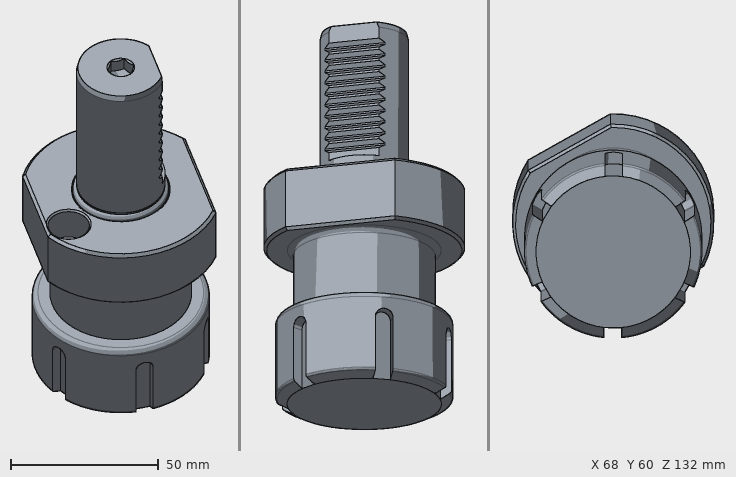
import cadquery as cq
import math


shank_radius = 15.0
shank_length = 55.0
shank_chamfer_height = 2.0
shank_chamfer_width = 0.5
neck_radius = 14.9
neck_top_z = 2.3

flat_y = 12.1
flat_bottom_z = 7.0
groove_count = 10
groove_pitch = 4.0
groove_depth = 1.5
groove_opening = 3.2
groove_floor = 0.6
first_groove_z = 11.5

ring_tube_radius = 1.6
ring_centre_radius = 14.7
recess_radius = 16.65
recess_depth = 0.5

flange_radius = 34.0
flange_thickness = 22.0
flange_back_y = 28.0
flange_front_y = -30.0
flange_chamfer = 1.0

hole_x = 12.6
hole_y = -21.8
hole_radius = 7.0
hole_depth = 12.0
hole_chamfer = 0.6
drill_tip_half_angle = math.radians(59)

body_radius = 24.0
body_fillet = 2.0

nut_radius = 30.0
nut_height = 30.0
nut_bottom_z = -77.0
nut_top_fillet = 2.0
nut_chamfer_width = 3.9
nut_chamfer_height = 2.1
nut_edge_radius = 1.0
nut_top_z = nut_bottom_z + nut_height

slot_count = 6
slot_width = 6.0
slot_height = 24.0
slot_floor_radius = 26.0

socket_flats = 8.0
socket_depth = 4.5
socket_rim_radius = 4.65
socket_floor_radius = 2.1
socket_corner_radius = socket_flats / math.sqrt(3)


def cylinder(radius, bottom_z, height):
    return cq.Workplane("XY").workplane(offset=bottom_z).circle(radius).extrude(height)


def revolve_profile(profile):
    """Turn a closed radius-height profile about the Z axis."""
    return profile.close().revolve(360, (0, 0, 0), (0, 1, 0))


def make_shank():
    profile = (
        cq.Workplane("XZ")
        .moveTo(0, -recess_depth)
        .lineTo(neck_radius, -recess_depth)
        .lineTo(neck_radius, neck_top_z)
        .lineTo(shank_radius, neck_top_z)
        .lineTo(shank_radius, shank_length - shank_chamfer_height)
        .lineTo(shank_radius - shank_chamfer_width, shank_length)
        .lineTo(0, shank_length)
    )
    return revolve_profile(profile)


def make_serration_cutter():
    flat_height = shank_length - flat_bottom_z
    cut_thickness = shank_radius - flat_y
    cutter = cq.Workplane("XY").box(
        2 * shank_radius, cut_thickness, flat_height, centered=(True, False, False)
    ).translate((0, flat_y, flat_bottom_z))
    for index in range(groove_count):
        groove_z = first_groove_z + index * groove_pitch
        groove = (
            cq.Workplane("YZ")
            .moveTo(flat_y - groove_depth, groove_z - groove_floor / 2)
            .lineTo(flat_y - groove_depth, groove_z + groove_floor / 2)
            .lineTo(flat_y, groove_z + groove_opening / 2)
            .lineTo(flat_y, groove_z - groove_opening / 2)
            .close()
            .extrude(shank_radius, both=True)
        )
        cutter = cutter.union(groove)
    return cutter


def make_socket_cutter():
    """Hexagon with a countersunk rim and a truncated conical floor."""
    tip_depth = (socket_corner_radius - socket_floor_radius) / math.tan(drill_tip_half_angle)
    floor_z = shank_length - socket_depth
    rim_depth = socket_rim_radius - socket_flats / 2
    hexagon = (
        cq.Workplane("XY")
        .workplane(offset=floor_z - tip_depth)
        .transformed(rotate=(0, 0, 90))
        .polygon(6, 2 * socket_corner_radius)
        .extrude(socket_depth + tip_depth)
    )
    drill_profile = (
        cq.Workplane("XZ")
        .moveTo(0, floor_z - tip_depth)
        .lineTo(socket_floor_radius, floor_z - tip_depth)
        .lineTo(socket_corner_radius, floor_z)
        .lineTo(socket_corner_radius, shank_length)
        .lineTo(0, shank_length)
    )
    rim_profile = (
        cq.Workplane("XZ")
        .moveTo(0, shank_length)
        .lineTo(socket_rim_radius, shank_length)
        .lineTo(socket_flats / 2, shank_length - rim_depth)
        .lineTo(0, shank_length - rim_depth)
    )
    return hexagon.intersect(revolve_profile(drill_profile)).union(revolve_profile(rim_profile))


def make_ring():
    """Round sealing ring half sunk in the flange recess."""
    return (
        cq.Workplane("XZ")
        .center(ring_centre_radius, 0)
        .circle(ring_tube_radius)
        .revolve(360, (-ring_centre_radius, 0, 0), (-ring_centre_radius, 1, 0))
    )


def make_flange():
    flange = cylinder(flange_radius, -flange_thickness, flange_thickness)
    band = cq.Workplane("XY").box(
        2 * flange_radius, flange_back_y - flange_front_y, flange_thickness, centered=(True, False, False)
    ).translate((0, flange_front_y, -flange_thickness))
    flange = flange.intersect(band).faces("|Z").edges().chamfer(flange_chamfer)
    return flange.cut(cylinder(recess_radius, -recess_depth, recess_depth))


def make_hole_cutter():
    tip_depth = hole_radius / math.tan(drill_tip_half_angle)
    profile = (
        cq.Workplane("XZ")
        .lineTo(hole_radius + hole_chamfer, 0)
        .lineTo(hole_radius, -hole_chamfer)
        .lineTo(hole_radius, -hole_depth)
        .lineTo(0, -hole_depth - tip_depth)
    )
    return revolve_profile(profile).translate((hole_x, hole_y, 0))


def make_body():
    top_z = -flange_thickness
    corner = body_fillet * (1 - math.sqrt(0.5))
    profile = (
        cq.Workplane("XZ")
        .moveTo(0, nut_top_z)
        .lineTo(body_radius, nut_top_z)
        .lineTo(body_radius, top_z - body_fillet)
        .threePointArc((body_radius + corner, top_z - corner), (body_radius + body_fillet, top_z))
        .lineTo(0, top_z)
    )
    return revolve_profile(profile)


def make_nut():
    nut = cylinder(nut_radius, nut_bottom_z, nut_height)
    nut = nut.faces(">Z").edges().fillet(nut_top_fillet)
    nut = nut.faces("<Z").edges().chamfer(nut_chamfer_height, nut_chamfer_width)
    return nut.faces("%CYLINDER").edges("<Z").fillet(nut_edge_radius)


def cut_slots(nut):
    """Round-topped slots, open at the lower end of the nut."""
    slot_arc_z = nut_bottom_z + slot_height - slot_width / 2
    slot = (
        cq.Workplane("YZ")
        .workplane(offset=slot_floor_radius)
        .moveTo(-slot_width / 2, nut_bottom_z)
        .lineTo(slot_width / 2, nut_bottom_z)
        .lineTo(slot_width / 2, slot_arc_z)
        .threePointArc((0, nut_bottom_z + slot_height), (-slot_width / 2, slot_arc_z))
        .close()
        .extrude(nut_radius - slot_floor_radius)
    )
    for index in range(slot_count):
        angle = index * 360 / slot_count
        nut = nut.cut(slot.rotate((0, 0, 0), (0, 0, 1), angle))
    return nut


shank = make_shank().cut(make_serration_cutter()).cut(make_socket_cutter())
flange = make_flange().cut(make_hole_cutter())
result = shank.union(make_ring()).union(flange).union(make_body()).union(cut_slots(make_nut()))